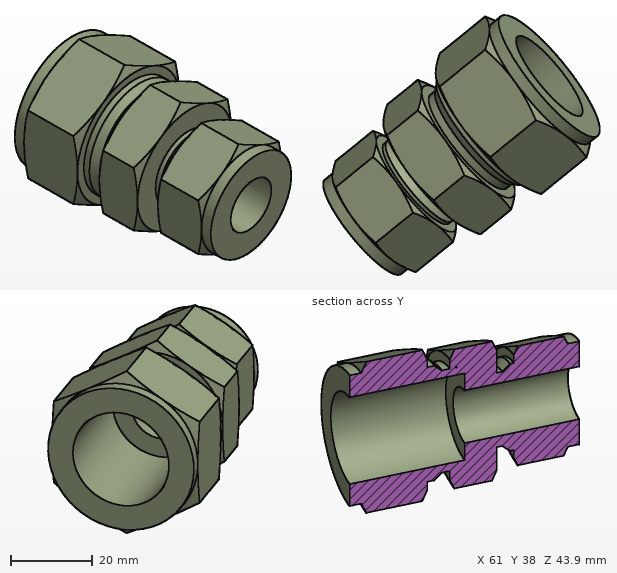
import cadquery as cq
import math

length = 61.0

large_nut_flats = 38.0
body_hex_flats = 35.0
small_nut_flats = 30.0
chamfer_angle = 25.0

large_nut_start = 3.05
large_nut_end = 20.7
large_shoulder_end = 22.5
large_taper_end = 24.45
body_hex_start = 26.55
body_hex_end = 39.1
small_taper_start = 40.5
small_shoulder_start = 42.6
small_nut_start = 43.55
small_nut_end = 57.95

large_shoulder_diameter = 33.3
large_neck_diameter = 29.75
small_neck_diameter = 21.65
small_shoulder_diameter = 25.4

tube_socket_diameter = 25.0
tube_socket_depth = length / 2
through_bore_diameter = 15.1


def turned_solid(outline):
    """Solid of revolution about X from (station, radius) points, closed along the axis."""
    first_station = outline[0][0]
    last_station = outline[-1][0]
    profile = [(first_station, 0)] + outline + [(last_station, 0)]
    return cq.Workplane("XZ").polyline(profile).close().revolve(360, (0, 0, 0), (1, 0, 0))


def cylinder(start, end, diameter):
    """Solid cylinder along X between two stations."""
    return turned_solid([(start, diameter / 2), (end, diameter / 2)])


def cone(start, end, start_diameter, end_diameter):
    """Solid truncated cone along X between two stations."""
    return turned_solid([(start, start_diameter / 2), (end, end_diameter / 2)])


def chamfered_hexagon(start, end, across_flats):
    """Hexagonal prism along X with both ends turned down to a circle touching the flats."""
    flat_radius = across_flats / 2
    corner_radius = flat_radius / math.cos(math.radians(30))
    chamfer_length = (corner_radius - flat_radius) * math.tan(math.radians(chamfer_angle))
    prism = (
        cq.Workplane("YZ", origin=(start, 0, 0))
        .transformed(rotate=(0, 0, 90))
        .polygon(6, 2 * corner_radius)
        .extrude(end - start)
    )
    chamfered_blank = turned_solid([
        (start, flat_radius),
        (start + chamfer_length, corner_radius),
        (end - chamfer_length, corner_radius),
        (end, flat_radius),
    ])
    return prism.intersect(chamfered_blank)


large_nut = chamfered_hexagon(large_nut_start, large_nut_end, large_nut_flats)
large_collar = cylinder(0, large_nut_start, large_nut_flats)

large_shoulder = cylinder(large_nut_end, large_shoulder_end, large_shoulder_diameter)
large_taper = cone(large_shoulder_end, large_taper_end, large_shoulder_diameter, large_neck_diameter)
large_neck = cylinder(large_taper_end, body_hex_start, large_neck_diameter)

body_hex = chamfered_hexagon(body_hex_start, body_hex_end, body_hex_flats)

small_neck = cylinder(body_hex_end, small_taper_start, small_neck_diameter)
small_taper = cone(small_taper_start, small_shoulder_start, small_neck_diameter, small_shoulder_diameter)
small_shoulder = cylinder(small_shoulder_start, small_nut_start, small_shoulder_diameter)

small_nut = chamfered_hexagon(small_nut_start, small_nut_end, small_nut_flats)
small_collar = cylinder(small_nut_end, length, small_nut_flats)

result = (
    large_collar.union(large_nut)
    .union(large_shoulder)
    .union(large_taper)
    .union(large_neck)
    .union(body_hex)
    .union(small_neck)
    .union(small_taper)
    .union(small_shoulder)
    .union(small_nut)
    .union(small_collar)
    .cut(cylinder(0, tube_socket_depth, tube_socket_diameter))
    .cut(cylinder(0, length, through_bore_diameter))
)